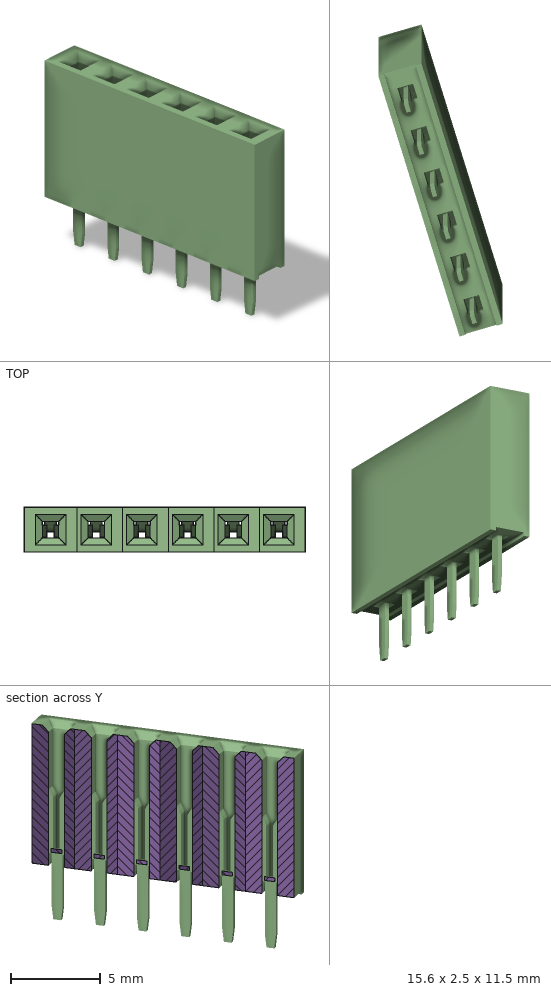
import cadquery as cq
import math


CELL_COUNT = 6
ROW_LENGTH = 15.64
ROW_DEPTH = 2.5
TOTAL_HEIGHT = 11.5
PIN_LENGTH = 3.0
HOUSING_HEIGHT = TOTAL_HEIGHT - PIN_LENGTH

PARTITION = 0.4
PITCH = (ROW_LENGTH - PARTITION) / CELL_COUNT

FOOT_WIDTH = 0.35
FOOT_HEIGHT = 0.2

SHAFT = 0.9
LEAD_IN = 0.39

PIN_WIDTH = 0.65
PIN_THICKNESS = 0.25
TIP_WIDTH = 0.45
TIP_TAPER = 0.8
BEND_RADIUS = 0.3
BEND_CENTRE_Z = 0.94
SHELF_TILT = 10.0

ARM_TOP = 4.69
ARM_WIDTH = PIN_WIDTH
ARM_FRONT_CLEARANCE = 0.05
ARM_SHOULDER = 0.28
ARM_HALF_GAP = 0.2
UPPER_SLOPE = 56.0
LOWER_SLOPE = 65.0


def box_between(x_start, x_end, depth, z_start, z_end):
    """Block centred on Y = 0."""
    size = (x_end - x_start, depth, z_end - z_start)
    return cq.Workplane("XY", origin=(x_start, 0, z_start)).box(*size, centered=(False, True, False))


def socket_cutter():
    """Square shaft and its flared mouth, centred on X = 0."""
    shaft = box_between(-SHAFT / 2, SHAFT / 2, SHAFT, 0, HOUSING_HEIGHT)
    mouth_size = SHAFT + 2 * LEAD_IN
    mouth = (
        cq.Workplane("XY", origin=(0, 0, HOUSING_HEIGHT - LEAD_IN))
        .rect(SHAFT, SHAFT)
        .workplane(offset=LEAD_IN)
        .rect(mouth_size, mouth_size)
        .loft(ruled=True)
    )
    return shaft.union(mouth)


def bent_pin():
    """Flat pin with a tapered tip and a bent shelf, centred on X = 0."""
    tilt = math.radians(SHELF_TILT)
    front = -PIN_THICKNESS / 2
    back = PIN_THICKNESS / 2
    bend_y = front + BEND_RADIUS
    wall_y = SHAFT / 2

    def bend_point(radius, angle):
        """Point on the bend, with the angle measured from the vertical toward -Y."""
        return (bend_y - radius * math.sin(angle), BEND_CENTRE_Z + radius * math.cos(angle))

    def shelf_end(radius):
        """Point where the shelf surface tangent to this bend radius reaches the back wall."""
        start_y, start_z = bend_point(radius, tilt)
        return (wall_y, start_z + (wall_y - start_y) * math.tan(tilt))

    inner_radius = BEND_RADIUS - PIN_THICKNESS
    mid_bend = (tilt + math.pi / 2) / 2
    bar = (
        cq.Workplane("YZ", origin=(-PIN_WIDTH / 2, 0, 0))
        .moveTo(front, -PIN_LENGTH)
        .lineTo(front, BEND_CENTRE_Z)
        .threePointArc(bend_point(BEND_RADIUS, mid_bend), bend_point(BEND_RADIUS, tilt))
        .lineTo(*shelf_end(BEND_RADIUS))
        .lineTo(*shelf_end(inner_radius))
        .lineTo(*bend_point(inner_radius, tilt))
        .threePointArc(bend_point(inner_radius, mid_bend), (back, BEND_CENTRE_Z))
        .lineTo(back, -PIN_LENGTH)
        .close()
        .extrude(PIN_WIDTH)
    )
    for side in (-1, 1):
        tip_corner = (
            cq.Workplane("XZ")
            .polyline([
                (side * PIN_WIDTH / 2, -PIN_LENGTH + TIP_TAPER),
                (side * TIP_WIDTH / 2, -PIN_LENGTH),
                (side * PIN_WIDTH / 2, -PIN_LENGTH),
            ])
            .close()
            .extrude(PIN_THICKNESS / 2, both=True)
        )
        bar = bar.cut(tip_corner)
    return bar


def gripping_arm(side):
    """Arm on one side wall of the shaft; its top slopes inward in two steps."""
    wall_x = SHAFT / 2
    shoulder_z = ARM_TOP - (wall_x - ARM_SHOULDER) * math.tan(math.radians(UPPER_SLOPE))
    grip_z = shoulder_z - (ARM_SHOULDER - ARM_HALF_GAP) * math.tan(math.radians(LOWER_SLOPE))
    front_y = -SHAFT / 2 + ARM_FRONT_CLEARANCE
    return (
        cq.Workplane("XZ", origin=(0, front_y, 0))
        .polyline([
            (side * wall_x, ARM_TOP),
            (side * ARM_SHOULDER, shoulder_z),
            (side * ARM_HALF_GAP, grip_z),
            (side * ARM_HALF_GAP, BEND_CENTRE_Z),
            (side * wall_x, BEND_CENTRE_Z),
        ])
        .close()
        .extrude(-ARM_WIDTH)
    )


def contact():
    """Pin and its two arms in one piece, centred on X = 0."""
    return bent_pin().union(gripping_arm(-1)).union(gripping_arm(1))


def socket_cell(index):
    """One position of the row: housing section with its contact, as one solid."""
    is_first = index == 0
    is_last = index == CELL_COUNT - 1
    cell_start = index * PITCH
    cell_end = cell_start + PITCH
    core_start = cell_start if is_first else cell_start + PARTITION
    core_end = ROW_LENGTH if is_last else cell_end
    cell = box_between(core_start, core_end, ROW_DEPTH, 0, HOUSING_HEIGHT)

    if not is_last:
        partition = box_between(cell_end, cell_end + PARTITION, ROW_DEPTH, 0, HOUSING_HEIGHT)
        cell = cell.union(partition, clean=False)

    groove = box_between(0, ROW_LENGTH, ROW_DEPTH - 2 * FOOT_WIDTH, 0, FOOT_HEIGHT)
    socket_position = (cell_start + (PITCH + PARTITION) / 2, 0, 0)
    return (
        cell.cut(groove, clean=False)
        .cut(socket_cutter().translate(socket_position), clean=False)
        .union(contact().translate(socket_position), clean=False)
    )


socket_cells = [socket_cell(index).val() for index in range(CELL_COUNT)]

result = cq.Compound.makeCompound([solid for cell in socket_cells for solid in cell.Solids()])